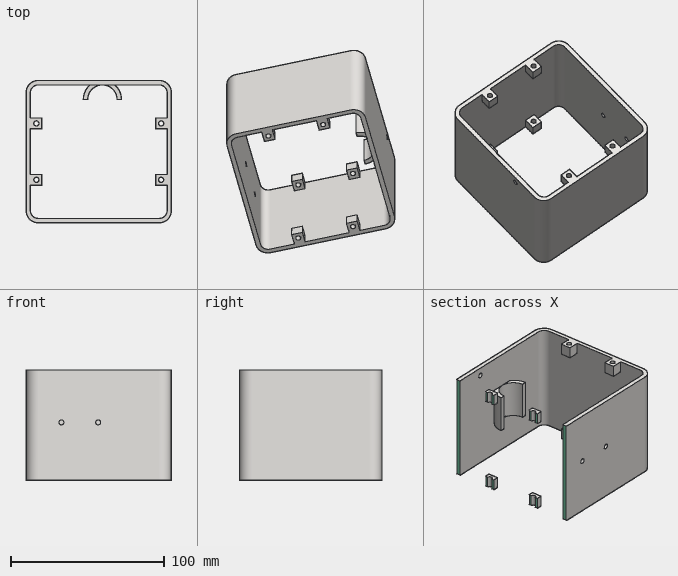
import cadquery as cq

LENGTH = 94.8
WIDTH = 93.0
HEIGHT = 72.0
SIDE_WALL = 2.8
END_WALL = 3.0
OUTER_RADIUS = 8.0
INNER_RADIUS = OUTER_RADIUS - SIDE_WALL
INNER_LENGTH = LENGTH - 2 * SIDE_WALL
INNER_WIDTH = WIDTH - 2 * END_WALL

HOLE_DIAMETER = 3.2
BLOCK_REACH = 10.3
BLOCK_WIDTH = 7.2
BLOCK_HEIGHT = 7.6
BLOCK_Y = 18.4
BLOCK_X = (LENGTH - BLOCK_REACH) / 2
BLOCK_Z = (HEIGHT - BLOCK_HEIGHT) / 2
SCREW_X = 40.7

CRADLE_X = 2.4
CRADLE_OUTER_RADIUS = 12.5
CRADLE_INNER_RADIUS = 9.5
CRADLE_HEIGHT = 25.0
CRADLE_Y = INNER_WIDTH / 2 - CRADLE_INNER_RADIUS

FRONT_HOLE_XS = (-24.4, -0.4)
FRONT_HOLE_Z = 1.8
BACK_HOLE_X = -19.9
BACK_HOLE_Z = 30.4


def rounded_block(length, width, radius):
    return cq.Workplane("XY").box(length, width, HEIGHT).edges("|Z").fillet(radius)


def screw_block(x, y, z):
    return cq.Workplane("XY").box(BLOCK_REACH, BLOCK_WIDTH, BLOCK_HEIGHT).translate((x, y, z))


def cradle():
    ring = (
        cq.Workplane("XY")
        .circle(CRADLE_OUTER_RADIUS)
        .circle(CRADLE_INNER_RADIUS)
        .extrude(CRADLE_HEIGHT / 2, both=True)
    )
    half = cq.Workplane("XY").box(
        2 * CRADLE_OUTER_RADIUS, CRADLE_OUTER_RADIUS, CRADLE_HEIGHT, centered=(True, False, True)
    )
    return ring.intersect(half).translate((CRADLE_X, CRADLE_Y, 0))


def wall_hole(x, z, wall_side):
    """Hole along Y through one wall; wall_side is -1 for the front, 1 for the back."""
    wall_y = wall_side * (WIDTH - END_WALL) / 2
    return (
        cq.Workplane("XZ")
        .center(x, z)
        .circle(HOLE_DIAMETER / 2)
        .extrude(END_WALL, both=True)
        .translate((0, wall_y, 0))
    )


outer = rounded_block(LENGTH, WIDTH, OUTER_RADIUS)
inner = rounded_block(INNER_LENGTH, INNER_WIDTH, INNER_RADIUS)
result = outer.cut(inner)

for x_side in (-1, 1):
    for y_side in (-1, 1):
        for z_side in (-1, 1):
            result = result.union(screw_block(x_side * BLOCK_X, y_side * BLOCK_Y, z_side * BLOCK_Z))

result = result.union(cradle().intersect(outer))

screw_holes = (
    cq.Workplane("XY")
    .rect(2 * SCREW_X, 2 * BLOCK_Y, forConstruction=True)
    .vertices()
    .circle(HOLE_DIAMETER / 2)
    .extrude(HEIGHT / 2, both=True)
)
result = result.cut(screw_holes)

for hole_x in FRONT_HOLE_XS:
    result = result.cut(wall_hole(hole_x, FRONT_HOLE_Z, -1))
result = result.cut(wall_hole(BACK_HOLE_X, BACK_HOLE_Z, 1))